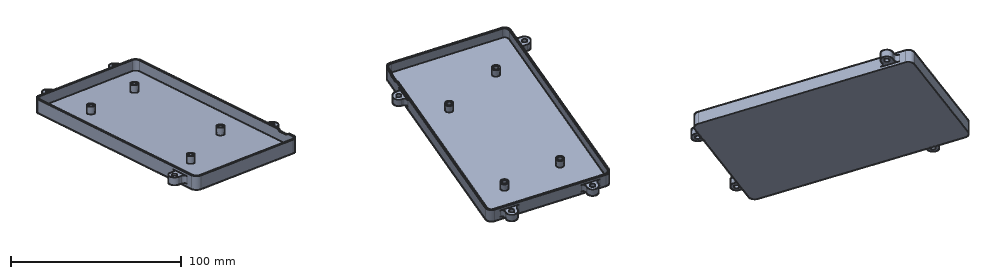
import cadquery as cq
import math

tray_length = 143.0
tray_width = 80.1
tray_height = 9.0
wall = 1.0
floor = 2.0
corner_radius = 4.0

ear_radius = 3.7
ear_hole_diameter = 3.1
ear_root_radius = 2.2
ear_thickness = 5.1
ear_base = (tray_height - ear_thickness) / 2
ear_reach = 3.0
long_ear_reach = 4.2
back_ear_x = 45.2
front_ear_x = 57.5
left_ear_positions = (26.2, -26.2)

post_diameter = 5.0
post_hole_diameter = 3.0
post_height = 5.0
post_positions = [(-49.5, 19.2), (26.5, 19.2), (-44.9, -19.0), (43.3, -19.0)]

dip_center_x = 59.1
dip_top_width = 9.5
dip_bottom_width = 5.7
dip_depth = 1.2


def make_tray():
    """Open box with rounded vertical corners and an even wall."""
    outer = cq.Workplane("XY").box(tray_length, tray_width, tray_height, centered=(True, True, False))
    outer = outer.edges("|Z").fillet(corner_radius)
    cavity = (
        cq.Workplane("XY", origin=(0, 0, floor))
        .box(tray_length - 2 * wall, tray_width - 2 * wall, tray_height, centered=(True, True, False))
        .edges("|Z")
        .fillet(corner_radius - wall)
    )
    return outer.cut(cavity)


def make_ear(reach):
    """Round-ended ear pointing along +Y, its root sunk into a wall whose outer face is at Y = 0."""
    root_half_width = ear_radius + ear_root_radius
    sink = wall / 2
    arc_offset = ear_root_radius * (1 - math.sqrt(0.5))
    return (
        cq.Workplane("XY")
        .moveTo(-root_half_width, -sink)
        .lineTo(-root_half_width, 0)
        .threePointArc((-ear_radius - arc_offset, arc_offset), (-ear_radius, ear_root_radius))
        .lineTo(-ear_radius, reach)
        .threePointArc((0, reach + ear_radius), (ear_radius, reach))
        .lineTo(ear_radius, ear_root_radius)
        .threePointArc((ear_radius + arc_offset, arc_offset), (root_half_width, 0))
        .lineTo(root_half_width, -sink)
        .close()
        .extrude(ear_thickness)
        .cut(cq.Workplane("XY").center(0, reach).circle(ear_hole_diameter / 2).extrude(ear_thickness))
    )


def place_ear(reach, angle, x, y):
    """Turn an ear about Z and set its root on the wall at (x, y)."""
    return make_ear(reach).rotate((0, 0, 0), (0, 0, 1), angle).translate((x, y, ear_base))


def make_posts():
    """Hollow posts standing on the tray floor."""
    return (
        cq.Workplane("XY", origin=(0, 0, floor))
        .pushPoints(post_positions)
        .circle(post_diameter / 2)
        .circle(post_hole_diameter / 2)
        .extrude(post_height)
    )


def make_dip():
    """Trapezoidal cutter through the back wall only."""
    return (
        cq.Workplane("XZ", origin=(dip_center_x, tray_width / 2, 0))
        .moveTo(-dip_top_width / 2, tray_height)
        .lineTo(-dip_bottom_width / 2, tray_height - dip_depth)
        .lineTo(dip_bottom_width / 2, tray_height - dip_depth)
        .lineTo(dip_top_width / 2, tray_height)
        .close()
        .extrude(wall)
    )


result = make_tray().cut(make_dip()).union(make_posts())
result = result.union(place_ear(ear_reach, 0, back_ear_x, tray_width / 2))
result = result.union(place_ear(long_ear_reach, 180, front_ear_x, -tray_width / 2))
for ear_y in left_ear_positions:
    result = result.union(place_ear(ear_reach, 90, -tray_length / 2, ear_y))